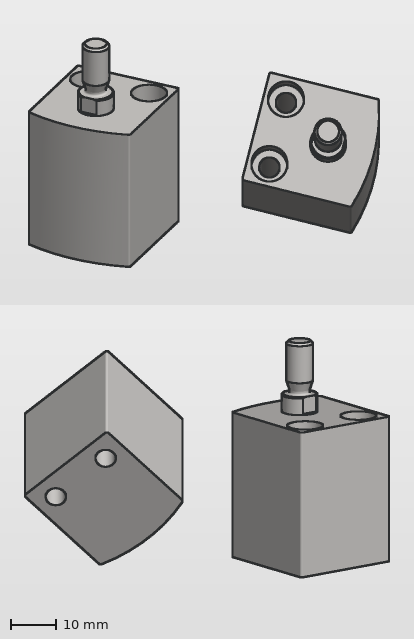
import cadquery as cq
import math


housing_width = 25.0
housing_length = 26.9
housing_height = 33.0
front_radius = 40.0
corner_radius = 0.5
rod_to_back = 16.5

hole_diameter = 4.5
counterbore_diameter = 8.0
counterbore_depth = 4.6
hole_spacing = 15.0
hole_to_back = 5.0

total_height = 49.0
collar_diameter = 8.0
collar_height = 4.0
collar_chamfer = 0.25
flats_width = 7.05
flats_bottom_gap = 0.25
neck_diameter = 4.5
neck_fillet = 0.5
neck_height = 0.85
thread_diameter = 6.0
thread_length = 9.0
thread_chamfer = 0.6

half_width = housing_width / 2
back_y = rod_to_back
front_y = back_y - housing_length
front_sagitta = front_radius - math.sqrt(front_radius**2 - half_width**2)
front_corner_y = front_y + front_sagitta
hole_y = back_y - hole_to_back
collar_top = housing_height + collar_height
thread_bottom = total_height - thread_length


def make_housing():
    """Block with a bowed front face and two counterbored through holes."""
    block = (
        cq.Workplane("XY")
        .moveTo(-half_width, back_y)
        .lineTo(half_width, back_y)
        .lineTo(half_width, front_corner_y)
        .threePointArc((0, front_y), (-half_width, front_corner_y))
        .close()
        .extrude(housing_height)
        .edges("|Z")
        .fillet(corner_radius)
    )
    hole_centers = [(side * hole_spacing / 2, hole_y) for side in (-1, 1)]
    return (
        block.faces(">Z")
        .workplane(origin=(0, 0, housing_height))
        .pushPoints(hole_centers)
        .cboreHole(hole_diameter, counterbore_diameter, counterbore_depth)
    )


def make_rod_blank():
    """Turned rod: collar, filleted neck, cone and chamfered thread shank."""
    collar_radius = collar_diameter / 2
    neck_radius = neck_diameter / 2
    thread_radius = thread_diameter / 2
    neck_ends = cq.selectors.RadiusNthSelector(0)
    return (
        cq.Workplane("XZ")
        .moveTo(0, housing_height)
        .lineTo(collar_radius, housing_height)
        .lineTo(collar_radius, collar_top - collar_chamfer)
        .lineTo(collar_radius - collar_chamfer, collar_top)
        .lineTo(neck_radius, collar_top)
        .lineTo(neck_radius, collar_top + neck_height)
        .lineTo(thread_radius, thread_bottom)
        .lineTo(thread_radius, total_height - thread_chamfer)
        .lineTo(thread_radius - thread_chamfer, total_height)
        .lineTo(0, total_height)
        .close()
        .revolve(360, (0, 0, 0), (0, 1, 0))
        .edges("%CIRCLE")
        .edges(neck_ends)
        .fillet(neck_fillet)
    )


def make_rod():
    """Rod with two parallel wrench flats on the front and back of its collar."""
    flats_bottom = housing_height + flats_bottom_gap
    flats_height = collar_top - flats_bottom
    cutter_size = collar_diameter
    rod = make_rod_blank()
    for side in (-1, 1):
        cutter_y = side * (flats_width + cutter_size) / 2
        cutter = (
            cq.Workplane("XY", origin=(0, cutter_y, flats_bottom))
            .rect(cutter_size, cutter_size)
            .extrude(flats_height)
        )
        rod = rod.cut(cutter)
    return rod


housing = make_housing()
rod = make_rod()

result = cq.Compound.makeCompound([housing.val(), rod.val()])